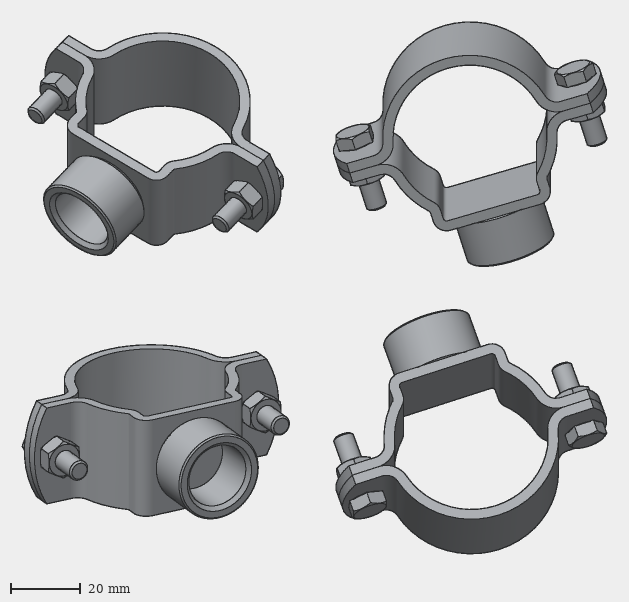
import cadquery as cq
import math


overall_length = 80.0
strap_width = 30.0
ring_inner_radius = 22.0
ring_outer_diameter = 50.0
ring_outer_radius = ring_outer_diameter / 2
thickness = ring_outer_radius - ring_inner_radius
ear_flat_start = 28.0
ear_end_radius = 30.0

saddle_inner_width = 28.9
saddle_corner_radius = 4.0
saddle_ring_angle = 45.0
saddle_inner_half = saddle_inner_width / 2
saddle_outer_half = saddle_inner_half + thickness

bolt_spacing = 66.0
bolt_diameter = 6.0
bolt_reach = 17.0
bolt_tip_chamfer = 0.6
head_height = 4.0
washer_face_diameter = 9.6
washer_face_height = 0.2
nut_height = 5.0
hex_flats = 10.0
hex_end_diameter = 9.8
nut_seat_diameter = 10.7
hex_chamfer_angle = 30.0
left_head_turn = 30.0
right_head_turn = 3.0
bolt_x = bolt_spacing / 2

socket_diameter = 26.0
socket_bore_diameter = 18.6
socket_reach = 40.0
socket_lip_chamfer = 0.5
socket_bore_chamfer = 1.2
socket_weld_chamfer = 1.2

bend_outer_radius = (ear_flat_start**2 + thickness**2 - ring_outer_radius**2) / (2 * ring_inner_radius)
bend_inner_radius = bend_outer_radius + thickness
bend_centre = (ear_flat_start, bend_inner_radius)
bend_ring_angle = math.degrees(math.atan2(bend_centre[1], bend_centre[0]))
bend_middle_angle = (180 + bend_ring_angle + 270) / 2

neck_reach = (ring_outer_radius - saddle_outer_half) / (1 - math.cos(math.radians(saddle_ring_angle)))
neck_outer_radius = neck_reach - ring_outer_radius
neck_inner_radius = neck_reach - ring_inner_radius
neck_middle_angle = 180 + saddle_ring_angle / 2


def polar(radius, angle, centre=(0, 0)):
    """Point at a radius and an angle in degrees about a centre."""
    radians = math.radians(angle)
    return (centre[0] + radius * math.cos(radians), centre[1] + radius * math.sin(radians))


neck_centre = polar(neck_reach, saddle_ring_angle)


def add_ear(outline, ring_angle):
    """Go on from the inside of the ring at ring_angle, round the +X ear, back to the ring's outside."""
    arc_middle = (ring_angle + bend_ring_angle) / 2
    ear_tip = overall_length / 2
    return (
        outline
        .threePointArc(polar(ring_inner_radius, arc_middle), polar(ring_inner_radius, bend_ring_angle))
        .threePointArc(polar(bend_inner_radius, bend_middle_angle, bend_centre), (ear_flat_start, 0))
        .lineTo(ear_tip, 0)
        .lineTo(ear_tip, thickness)
        .lineTo(ear_flat_start, thickness)
        .threePointArc(
            polar(bend_outer_radius, bend_middle_angle, bend_centre),
            polar(ring_outer_radius, bend_ring_angle),
        )
        .threePointArc(polar(ring_outer_radius, arc_middle), polar(ring_outer_radius, ring_angle))
    )


def ear_end_blank():
    """Block as wide as the strap whose two ends are rounded, for trimming the ears."""
    half_width = strap_width / 2
    half_length = overall_length / 2
    end_centre_x = half_length - ear_end_radius
    corner_x = end_centre_x + math.sqrt(ear_end_radius**2 - half_width**2)
    return (
        cq.Workplane("XZ")
        .moveTo(-corner_x, -half_width)
        .lineTo(corner_x, -half_width)
        .threePointArc((half_length, 0), (corner_x, half_width))
        .lineTo(-corner_x, half_width)
        .threePointArc((-half_length, 0), (-corner_x, -half_width))
        .close()
        .extrude(ring_outer_diameter, both=True)
    )


def bolt_holes():
    """Cutters for the bolt holes through both pairs of ears."""
    return (
        cq.Workplane("XZ")
        .pushPoints([(-bolt_x, 0), (bolt_x, 0)])
        .circle(bolt_diameter / 2)
        .extrude(2 * thickness, both=True)
    )


def finish_strap(half_outline):
    """Mirror half an outline in the YZ plane, extrude it, round the ears and drill them."""
    blank = half_outline.mirrorY().extrude(strap_width / 2, both=True)
    return blank.intersect(ear_end_blank()).cut(bolt_holes())


def make_upper_strap():
    """Half ring with an ear at each end."""
    return finish_strap(add_ear(cq.Workplane("XY").moveTo(0, ring_inner_radius), 90))


def make_lower_strap():
    """Ring sides that neck into a flat-bottomed saddle, drawn on the +Y side and then mirrored."""
    corner_centre = (saddle_outer_half - saddle_corner_radius, ring_outer_radius - saddle_corner_radius)
    corner_middle_angle = 45
    corner_inner_radius = saddle_corner_radius - thickness
    outline = (
        cq.Workplane("XY")
        .moveTo(0, ring_inner_radius)
        .lineTo(corner_centre[0], ring_inner_radius)
        .threePointArc(
            polar(corner_inner_radius, corner_middle_angle, corner_centre),
            (saddle_inner_half, corner_centre[1]),
        )
        .lineTo(saddle_inner_half, neck_centre[1])
        .threePointArc(
            polar(neck_inner_radius, neck_middle_angle, neck_centre),
            polar(ring_inner_radius, saddle_ring_angle),
        )
    )
    outline = (
        add_ear(outline, saddle_ring_angle)
        .threePointArc(
            polar(neck_outer_radius, neck_middle_angle, neck_centre),
            (saddle_outer_half, neck_centre[1]),
        )
        .lineTo(saddle_outer_half, corner_centre[1])
        .threePointArc(
            polar(saddle_corner_radius, corner_middle_angle, corner_centre),
            (corner_centre[0], ring_outer_radius),
        )
        .lineTo(0, ring_outer_radius)
    )
    return finish_strap(outline).mirror("XZ")


def make_hexagon(top_y, bottom_y):
    """Plain hexagonal prism along Y with two corners straight above and below its axis."""
    return (
        cq.Workplane("XZ", origin=(0, top_y, 0))
        .polygon(6, hex_flats, circumscribed=True)
        .extrude(top_y - bottom_y)
    )


def chamfer_corners(hexagon, end_y, inward, end_diameter):
    """Trim corners with a cone of end_diameter at end_y that widens inward (+1 for +Y, -1 for -Y)."""
    end_radius = end_diameter / 2
    depth = hex_flats
    far_y = end_y + inward * depth
    far_radius = end_radius + depth / math.tan(math.radians(hex_chamfer_angle))
    cone = (
        cq.Workplane("XY")
        .moveTo(0, end_y)
        .lineTo(end_radius, end_y)
        .lineTo(far_radius, far_y)
        .lineTo(0, far_y)
        .close()
        .revolve(360, (0, 0), (0, 1))
    )
    return hexagon.intersect(cone)


def make_bolt(x, head_turn):
    """Hexagon bolt pointing to -Y, with a washer face; head_turn is anticlockwise as seen from its tip."""
    head_bottom = thickness + washer_face_height
    head_top = thickness + head_height
    head = chamfer_corners(make_hexagon(head_top, head_bottom), head_top, -1, hex_end_diameter)
    washer_face = (
        cq.Workplane("XZ", origin=(0, head_bottom, 0))
        .circle(washer_face_diameter / 2)
        .extrude(washer_face_height)
    )
    shank = (
        cq.Workplane("XZ", origin=(0, thickness, 0))
        .circle(bolt_diameter / 2)
        .extrude(thickness + bolt_reach)
        .faces("<Y")
        .chamfer(bolt_tip_chamfer)
    )
    bolt = head.union(washer_face).union(shank)
    return bolt.rotate((0, 0, 0), (0, -1, 0), head_turn).translate((x, 0, 0))


def make_nut(x):
    """Hexagon nut seated on the lower strap's ear."""
    bottom_y = -thickness - nut_height
    nut = make_hexagon(-thickness, bottom_y)
    nut = chamfer_corners(nut, -thickness, -1, nut_seat_diameter)
    nut = chamfer_corners(nut, bottom_y, 1, hex_end_diameter)
    bore = cq.Workplane("XZ").circle(bolt_diameter / 2).extrude(-bottom_y)
    return nut.cut(bore).translate((x, 0, 0))


def make_socket():
    """Tube standing on the saddle, which closes its bore."""
    radius = socket_diameter / 2
    bore_radius = socket_bore_diameter / 2
    base_y = -ring_outer_radius
    end_y = -socket_reach
    return (
        cq.Workplane("XY")
        .moveTo(bore_radius, base_y)
        .lineTo(radius - socket_weld_chamfer, base_y)
        .lineTo(radius, base_y - socket_weld_chamfer)
        .lineTo(radius, end_y + socket_lip_chamfer)
        .lineTo(radius - socket_lip_chamfer, end_y)
        .lineTo(bore_radius + socket_bore_chamfer, end_y)
        .lineTo(bore_radius, end_y + socket_bore_chamfer)
        .close()
        .revolve(360, (0, 0), (0, 1))
    )


upper_strap = make_upper_strap()
lower_strap = make_lower_strap()
bolt_places = [(-bolt_x, left_head_turn), (bolt_x, right_head_turn)]
bolts = [make_bolt(x, head_turn) for x, head_turn in bolt_places]
nuts = [make_nut(x) for x in [-bolt_x, bolt_x]]
socket = make_socket()

result = cq.Compound.makeCompound(
    [
        upper_strap.val(),
        lower_strap.val(),
        *[bolt.val() for bolt in bolts],
        *[nut.val() for nut in nuts],
        socket.val(),
    ]
)